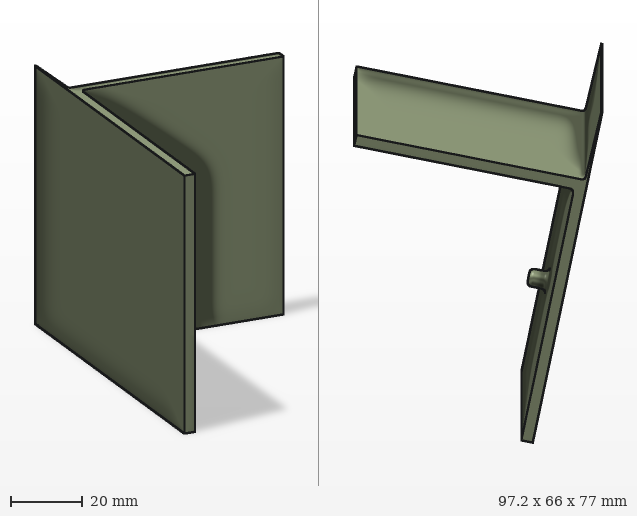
import cadquery as cq

length = 97.2
depth = 66.0
height = 77.0

plate_thickness = 3.3
wall_thickness = 3.2
wall_offset = 20.0
lip_tip_thickness = 0.3
lip_root_thickness = 0.9
inner_fillet = 1.4
lip_fillet = 1.0

pin_radius = 2.5
pin_height = 5.4
pin_fillet = 1.3
pin_x = 60.3
pin_z = height / 2


def make_bracket():
    """Upright plate with a perpendicular wall and a thin tapered lip."""
    wall_end = wall_offset + wall_thickness
    outline = [
        (0, 0),
        (length, 0),
        (length, plate_thickness),
        (wall_end, plate_thickness),
        (wall_end, depth),
        (wall_offset, depth),
        (wall_offset, lip_root_thickness),
        (0, lip_tip_thickness),
    ]
    bracket = cq.Workplane("XY").polyline(outline).close().extrude(height)
    inner_corner = cq.NearestToPointSelector((wall_end, plate_thickness, height / 2))
    bracket = bracket.edges("|Z").edges(inner_corner).fillet(inner_fillet)
    lip_corner = cq.NearestToPointSelector((wall_offset, lip_root_thickness, height / 2))
    return bracket.edges("|Z").edges(lip_corner).fillet(lip_fillet)


def make_pin():
    """Pin along Y with a rounded tip and a flared base, revolved about its axis."""
    tip = plate_thickness + pin_height
    profile = (
        cq.Workplane("XY")
        .moveTo(0, plate_thickness / 2)
        .lineTo(pin_radius + pin_fillet, plate_thickness / 2)
        .lineTo(pin_radius + pin_fillet, plate_thickness)
        .radiusArc((pin_radius, plate_thickness + pin_fillet), pin_fillet)
        .lineTo(pin_radius, tip - pin_fillet)
        .radiusArc((pin_radius - pin_fillet, tip), -pin_fillet)
        .lineTo(0, tip)
        .close()
    )
    pin = profile.revolve(360, (0, 0, 0), (0, 1, 0))
    return pin.translate((pin_x, 0, pin_z))


result = make_bracket().union(make_pin())